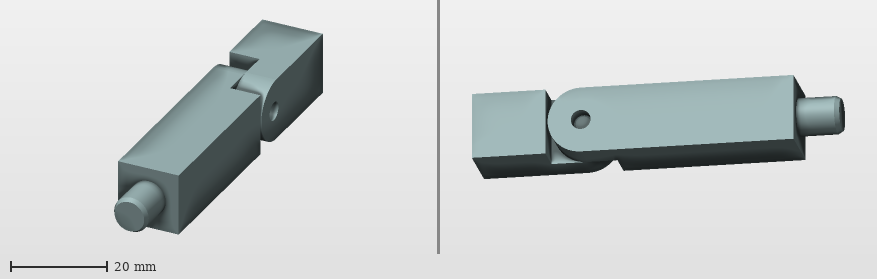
import cadquery as cq

total_length = 77.0
side = 14.0
half_side = side / 2

lug_radius = half_side
lug_clearance = 0.5
head_block_length = 15.55
head_lug_length = 13.5

head_shoulder_y = -head_block_length
head_tip_y = head_shoulder_y - head_lug_length
arm_tip_y = head_shoulder_y - lug_clearance
arm_shoulder_y = head_tip_y - lug_clearance
pivot_y = arm_tip_y - lug_radius

shank_length = 9.0
shank_diameter = 8.0
shank_chamfer_length = 1.0
shank_chamfer_depth = 0.58
shank_end_y = -total_length
arm_end_y = shank_end_y + shank_length

pin_diameter = 4.15
pin_chamfer = 0.5
pin_recess = 3.0
pin_length = side - 2 * pin_recess


def square_block(y_start, y_end):
    """Full-width square bar between two Y positions."""
    return (
        cq.Workplane("XY")
        .box(side, y_end - y_start, side, centered=(True, False, True))
        .translate((0, y_start, 0))
    )


def round_ended_lug(root_y, tip_y, x_start):
    """Half-width lug from root_y to a semicircular end at tip_y."""
    toward_root = 1 if root_y > tip_y else -1
    round_centre_y = tip_y + toward_root * lug_radius
    return (
        cq.Workplane("YZ", origin=(x_start, 0, 0))
        .moveTo(root_y, -half_side)
        .lineTo(round_centre_y, -half_side)
        .threePointArc((tip_y, 0), (round_centre_y, half_side))
        .lineTo(root_y, half_side)
        .close()
        .extrude(half_side)
    )


def pivot_cylinder(length):
    """Cylinder of the pin's diameter on the pivot axis, centred on X = 0."""
    return (
        cq.Workplane("YZ", origin=(-length / 2, pivot_y, 0))
        .circle(pin_diameter / 2)
        .extrude(length)
    )


def make_shank():
    """Round shank along Y with a chamfered free end."""
    radius = shank_diameter / 2
    end_radius = radius - shank_chamfer_depth
    return (
        cq.Workplane("XY")
        .moveTo(0, arm_end_y)
        .lineTo(radius, arm_end_y)
        .lineTo(radius, shank_end_y + shank_chamfer_length)
        .lineTo(end_radius, shank_end_y)
        .lineTo(0, shank_end_y)
        .close()
        .revolve(360, (0, 0, 0), (0, 1, 0))
    )


def make_head():
    """Square head with its lug on the +X half."""
    block = square_block(head_shoulder_y, 0)
    lug = round_ended_lug(head_shoulder_y, head_tip_y, 0)
    return block.union(lug).cut(pivot_cylinder(side))


def make_arm():
    """Long square arm with its lug on the -X half and the shank on its free end."""
    block = square_block(arm_end_y, arm_shoulder_y)
    lug = round_ended_lug(arm_shoulder_y, arm_tip_y, -half_side)
    return block.union(lug).union(make_shank()).cut(pivot_cylinder(side))


def make_pin():
    """Hinge pin with both ends chamfered."""
    return pivot_cylinder(pin_length).faces("<X or >X").chamfer(pin_chamfer)


head = make_head()
arm = make_arm()
pin = make_pin()

result = cq.Compound.makeCompound([head.val(), arm.val(), pin.val()])